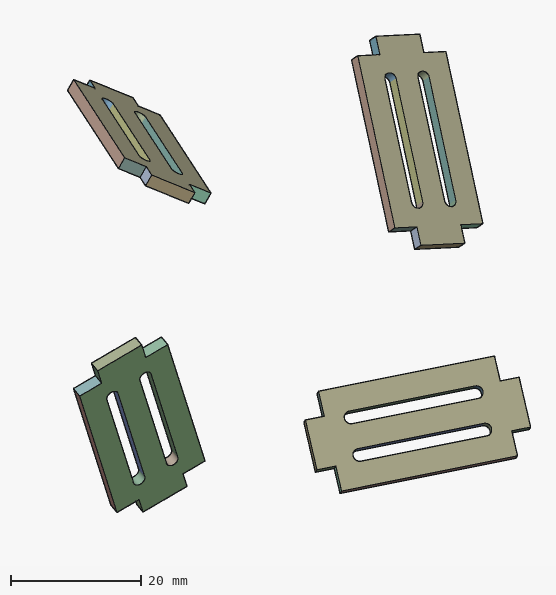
import cadquery as cq

plate_length = 28.0
plate_width = 16.0
thickness = 2.0
tab_projection = 3.0
tab_width = 8.0
slot_length = 22.0
slot_width = 2.0
slot_spacing = 6.0
tilt_angle = -30.08

overall_length = plate_length + 2 * tab_projection


def make_plate():
    """Rectangular plate with a centred tab at each end."""
    body = cq.Workplane("XY").box(plate_length, plate_width, thickness)
    tabs = cq.Workplane("XY").box(overall_length, tab_width, thickness)
    return body.union(tabs)


def make_slots():
    """Cutters for the two round-ended slots, running through the thickness."""
    slot_centers = [(0, -slot_spacing / 2), (0, slot_spacing / 2)]
    return (
        cq.Workplane("XY")
        .pushPoints(slot_centers)
        .slot2D(slot_length, slot_width)
        .extrude(thickness, both=True)
    )


flat_part = make_plate().cut(make_slots())
result = flat_part.rotate((0, 0, 0), (1, 0, 0), tilt_angle)